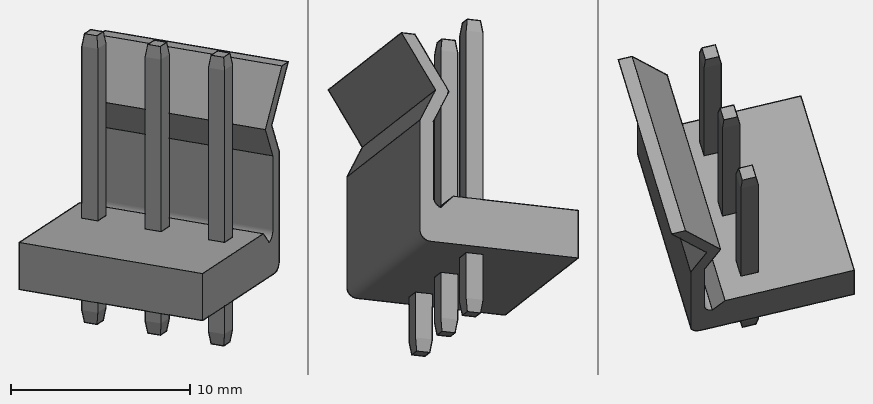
import cadquery as cq

width = 11.48
base_height = 2.79
base_front = -5.7
heel_radius = 0.6

wall_back = 3.75
wall_thickness = 0.8
wall_front = wall_back - wall_thickness
bend_height = 7.02
knee_height = 8.87
knee_offset = 0.92
leaf_top = 12.0
leaf_tip_back = 4.85

groove_depth = 0.73
groove_bottom_y = 2.5
groove_arc_start = 2.63

pin_count = 3
pin_pitch = 3.96
pin_size = 1.0
pin_tip_size = 0.79
pin_taper = 0.73
pin_length = 17.09
pin_bottom = -3.4


def make_housing():
    """Base, relief groove and bent locking wall as one profile swept across the width."""
    knee_back = wall_back - knee_offset
    knee_front = wall_front - knee_offset
    groove_bottom_z = base_height - groove_depth
    groove_edge_y = groove_bottom_y - groove_depth
    profile = (
        cq.Workplane("YZ")
        .workplane(offset=-width / 2)
        .moveTo(base_front, 0)
        .lineTo(wall_back - heel_radius, 0)
        .radiusArc((wall_back, heel_radius), -heel_radius)
        .lineTo(wall_back, bend_height)
        .lineTo(knee_back, knee_height)
        .lineTo(leaf_tip_back, leaf_top)
        .lineTo(leaf_tip_back - wall_thickness, leaf_top)
        .lineTo(knee_front, knee_height)
        .lineTo(wall_front, bend_height)
        .lineTo(wall_front, groove_arc_start)
        .tangentArcPoint((groove_bottom_y, groove_bottom_z), relative=False)
        .lineTo(groove_edge_y, base_height)
        .lineTo(base_front, base_height)
        .close()
    )
    return profile.extrude(width)


def make_pin_end(x, shoulder_z, tip_z):
    """Square taper from the full pin section at the shoulder down to the tip."""
    return (
        cq.Workplane("XY", origin=(x, 0, shoulder_z))
        .rect(pin_size, pin_size)
        .workplane(offset=tip_z - shoulder_z)
        .rect(pin_tip_size, pin_tip_size)
        .loft(ruled=True)
    )


def make_pin(x):
    """Full-length square pin, tapered at both ends."""
    pin_top = pin_bottom + pin_length
    lower_shoulder = pin_bottom + pin_taper
    upper_shoulder = pin_top - pin_taper
    shank = (
        cq.Workplane("XY", origin=(x, 0, lower_shoulder))
        .rect(pin_size, pin_size)
        .extrude(upper_shoulder - lower_shoulder)
    )
    lower_end = make_pin_end(x, lower_shoulder, pin_bottom)
    upper_end = make_pin_end(x, upper_shoulder, pin_top)
    return shank.union(lower_end).union(upper_end)


result = make_housing()
for index in range(pin_count):
    pin_x = (index - (pin_count - 1) / 2) * pin_pitch
    result = result.union(make_pin(pin_x))